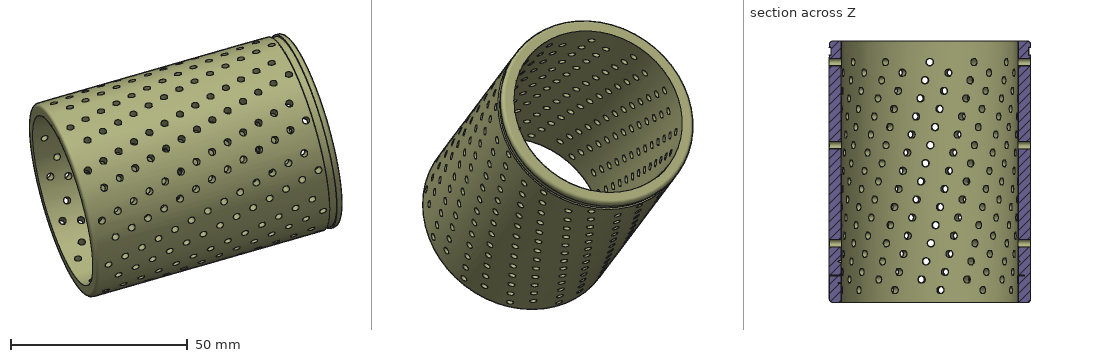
import cadquery as cq
import math

outer_diameter = 57.0
inner_diameter = 50.0
length = 74.0
outer_radius = outer_diameter / 2
inner_radius = inner_diameter / 2
front_end = -length / 2
back_end = length / 2

end_round = 1.0

groove_offset = 1.8
groove_width = 2.2
groove_depth = 0.5

hole_diameter = 2.0
holes_per_ring = 12
rings_per_set = 13
ring_pitch = 5.12
first_ring_offset = 6.0
second_set_offset = 3.0
ring_twist = 2.93
hole_spacing = 360 / holes_per_ring
second_set_turn = hole_spacing / 2 + ring_twist


def make_tube():
    """Revolve the wall section, with its groove and rounded ends, about Y."""
    groove_back = back_end - groove_offset
    groove_front = groove_back - groove_width
    groove_radius = outer_radius - groove_depth
    flat_radius = outer_radius - end_round
    mid_radius = flat_radius + end_round * math.sqrt(0.5)
    mid_inset = end_round * (1 - math.sqrt(0.5))
    section = (
        cq.Workplane("XY")
        .moveTo(inner_radius, front_end)
        .lineTo(flat_radius, front_end)
        .threePointArc((mid_radius, front_end + mid_inset), (outer_radius, front_end + end_round))
        .lineTo(outer_radius, groove_front)
        .lineTo(groove_radius, groove_front)
        .lineTo(groove_radius, groove_back)
        .lineTo(outer_radius, groove_back)
        .lineTo(outer_radius, back_end - end_round)
        .threePointArc((mid_radius, back_end - mid_inset), (flat_radius, back_end))
        .lineTo(inner_radius, back_end)
        .close()
    )
    return section.revolve(360, (0, 0, 0), (0, 1, 0))


def hole_cutter(y, angle):
    """Radial drill at position y along the axis, turned by angle (degrees) from +Z towards +X."""
    turn = math.radians(angle)
    direction = cq.Vector(math.sin(turn), 0, math.cos(turn))
    start_radius = inner_radius - hole_diameter
    start = direction * start_radius + cq.Vector(0, y, 0)
    drill_length = outer_radius + hole_diameter - start_radius
    return cq.Solid.makeCylinder(hole_diameter / 2, drill_length, start, direction)


def ring_set(first_y, first_angle):
    """Drills for one set of rings, running from the back end to the front."""
    return [
        hole_cutter(first_y - ring * ring_pitch, first_angle + ring * ring_twist + hole * hole_spacing)
        for ring in range(rings_per_set)
        for hole in range(holes_per_ring)
    ]


first_ring_y = back_end - first_ring_offset
drills = ring_set(first_ring_y, 0)
drills += ring_set(first_ring_y - second_set_offset, second_set_turn)

result = cq.Workplane(make_tube().val().cut(*drills))